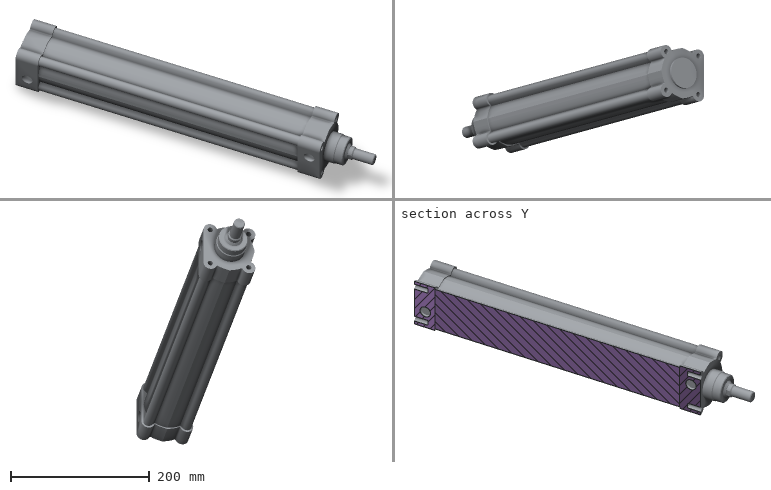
import cadquery as cq
import math


OVERALL_LENGTH = 544.0
CAP_LENGTH = 34.0
REAR_CAP_START = 4.0
REAR_CAP_END = REAR_CAP_START + CAP_LENGTH
FRONT_CAP_END = 474.0
FRONT_CAP_START = FRONT_CAP_END - CAP_LENGTH
NOSE_LENGTH = 16.0
COLLAR_LENGTH = 12.5
WIPER_LENGTH = 3.0

CAP_HALF_WIDTH = 38.0
BOLT_OFFSET = 28.5
EAR_RADIUS = CAP_HALF_WIDTH - BOLT_OFFSET
CAP_RADIUS = 36.0
CAP_RIDGE_HALF_WIDTH = 9.0
EAR_FILLET = 1.5
BOSS_RADIUS = 22.5
BOLT_HOLE_RADIUS = 4.0
BOLT_HOLE_DEPTH = 22.0
PORT_RADIUS = 8.0
PORT_OFFSET = 10.5
PORT_INSET = 18.0
PORT_DEPTH = 13.5

COLLAR_RADIUS = 21.0
NOSE_CHAMFER = BOSS_RADIUS - COLLAR_RADIUS
COLLAR_CHAMFER = 1.0
WIPER_BASE_RADIUS = 13.0
WIPER_TIP_RADIUS = 10.5

BARREL_RADIUS = 34.0
BARREL_RIDGE_HALF_WIDTH = 6.0
LOBE_RADIUS = 7.0

ROD_RADIUS = 10.0
ROD_SHOULDER = 511.5
SHOULDER_CHAMFER_LENGTH = 1.5
THREAD_RADIUS = 8.0
THREAD_CHAMFER = 1.0
FLAT_HALF_WIDTH = 8.5
FLAT_LENGTH = 6.5

CORNERS = [(y, z) for y in (-BOLT_OFFSET, BOLT_OFFSET) for z in (-BOLT_OFFSET, BOLT_OFFSET)]


def section(x):
    """Workplane across the axis at x, with local axes along +Y and +Z."""
    return cq.Workplane("YZ", origin=(x, 0, 0))


def disc(x, radius, length):
    return section(x).circle(radius).extrude(length)


def ridge(x, length, radius, half_width, turn):
    """Roof of two flats tangent to a cylinder, meeting in a ridge on +Z, turned about the axis."""
    spring_height = math.sqrt(radius**2 - half_width**2)
    peak_height = radius**2 / spring_height
    outline = [(0, 0), (half_width, spring_height), (0, peak_height), (-half_width, spring_height)]
    return section(x).polyline(outline).close().extrude(length).rotate((0, 0, 0), (1, 0, 0), turn)


def cap_block(x):
    """Round cap with four bolt ears, a flat port face on -Y and ridges on the other three sides."""
    block = disc(x, CAP_RADIUS, CAP_LENGTH)
    for turn in (-90, 0, 180):
        block = block.union(ridge(x, CAP_LENGTH, CAP_RADIUS, CAP_RIDGE_HALF_WIDTH, turn))
    block = block.union(section(x).pushPoints(CORNERS).circle(EAR_RADIUS).extrude(CAP_LENGTH))
    port_face = (
        section(x)
        .center(-CAP_HALF_WIDTH / 2, 0)
        .rect(CAP_HALF_WIDTH, 2 * BOLT_OFFSET)
        .extrude(CAP_LENGTH)
    )
    return fillet_ear_roots(block.union(port_face))


def fillet_ear_roots(block):
    """Round the inner corners where the ears run into the round body."""
    ear_distance = math.hypot(BOLT_OFFSET, BOLT_OFFSET)
    along = (ear_distance**2 + CAP_RADIUS**2 - EAR_RADIUS**2) / (2 * ear_distance)
    across = math.sqrt(CAP_RADIUS**2 - along**2)
    far = (along + across) / math.sqrt(2)
    near = (along - across) / math.sqrt(2)
    x_middle = block.val().BoundingBox().center.x
    roots = [(y, z) for y in (-near, near) for z in (-far, far)]
    roots += [(far, z) for z in (-near, near)]
    for y, z in roots:
        block = block.edges(cq.NearestToPointSelector((x_middle, y, z))).fillet(EAR_FILLET)
    return block


def port(x, z):
    """Blind threaded-port hole entering from the -Y face."""
    return cq.Workplane("XZ", origin=(x, -CAP_HALF_WIDTH, z)).circle(PORT_RADIUS).extrude(-PORT_DEPTH)


def bolt_holes(x, depth):
    return section(x).pushPoints(CORNERS).circle(BOLT_HOLE_RADIUS).extrude(depth)


def make_rear_cap():
    cap = cap_block(REAR_CAP_START).union(disc(0, BOSS_RADIUS, REAR_CAP_END))
    cap = cap.cut(port(REAR_CAP_START + PORT_INSET, -PORT_OFFSET))
    return cap.cut(bolt_holes(REAR_CAP_START, BOLT_HOLE_DEPTH))


def make_front_cap():
    nose_end = FRONT_CAP_END + NOSE_LENGTH
    collar_end = nose_end + COLLAR_LENGTH
    nose = disc(FRONT_CAP_END, BOSS_RADIUS, NOSE_LENGTH).faces(">X").chamfer(NOSE_CHAMFER)
    collar = disc(nose_end, COLLAR_RADIUS, COLLAR_LENGTH).faces(">X").chamfer(COLLAR_CHAMFER)
    wiper = (
        section(collar_end)
        .circle(WIPER_BASE_RADIUS)
        .workplane(offset=WIPER_LENGTH)
        .circle(WIPER_TIP_RADIUS)
        .loft(ruled=True)
    )
    cap = cap_block(FRONT_CAP_START).union(nose).union(collar).union(wiper)
    cap = cap.cut(port(FRONT_CAP_START + PORT_INSET, PORT_OFFSET))
    cap = cap.cut(bolt_holes(FRONT_CAP_END, -BOLT_HOLE_DEPTH))
    return cap.cut(disc(FRONT_CAP_START, ROD_RADIUS, collar_end + WIPER_LENGTH - FRONT_CAP_START))


def make_barrel():
    """Round barrel with ridges on four sides and a necked round lobe at each corner."""
    length = FRONT_CAP_START - REAR_CAP_END
    barrel = disc(REAR_CAP_END, BARREL_RADIUS, length)
    for turn in (0, 90, 180, 270):
        barrel = barrel.union(ridge(REAR_CAP_END, length, BARREL_RADIUS, BARREL_RIDGE_HALF_WIDTH, turn))
    barrel = barrel.union(section(REAR_CAP_END).pushPoints(CORNERS).circle(LOBE_RADIUS).extrude(length))
    neck_span = 2 * math.hypot(BOLT_OFFSET, BOLT_OFFSET)
    for turn in (45, -45):
        necks = section(REAR_CAP_END).rect(neck_span, 2 * LOBE_RADIUS).extrude(length)
        barrel = barrel.union(necks.rotate((0, 0, 0), (1, 0, 0), turn))
    return barrel


def make_rod():
    """Rod with a chamfered shoulder, a threaded end and a pair of wrench flats on +Y and -Y."""
    chamfer_end = ROD_SHOULDER + SHOULDER_CHAMFER_LENGTH
    profile = [
        (FRONT_CAP_START, 0),
        (FRONT_CAP_START, ROD_RADIUS),
        (ROD_SHOULDER, ROD_RADIUS),
        (chamfer_end, THREAD_RADIUS),
        (OVERALL_LENGTH - THREAD_CHAMFER, THREAD_RADIUS),
        (OVERALL_LENGTH, THREAD_RADIUS - THREAD_CHAMFER),
        (OVERALL_LENGTH, 0),
    ]
    rod = cq.Workplane("XY").polyline(profile).close().revolve(360, (0, 0, 0), (1, 0, 0))
    flat_start = ROD_SHOULDER - FLAT_LENGTH
    for side in (-1, 1):
        waste = (
            section(flat_start)
            .center(side * (FLAT_HALF_WIDTH + ROD_RADIUS), 0)
            .rect(2 * ROD_RADIUS, 2 * ROD_RADIUS)
            .extrude(FLAT_LENGTH)
        )
        rod = rod.cut(waste)
    return rod


rear_cap = make_rear_cap()
barrel = make_barrel()
front_cap = make_front_cap()
piston_rod = make_rod()

result = cq.Compound.makeCompound([rear_cap.val(), barrel.val(), front_cap.val(), piston_rod.val()])